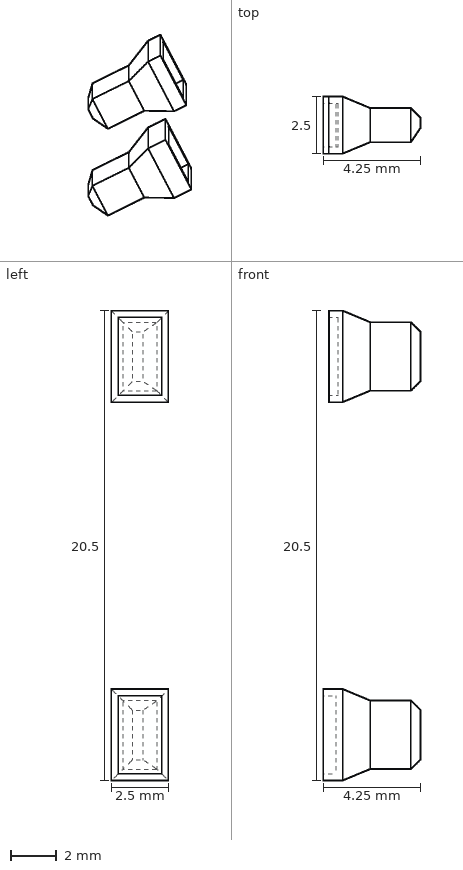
import cadquery as cq

FLANGE_WIDTH = 2.5
FLANGE_HEIGHT = 4.0
STEM_WIDTH = 1.5
STEM_HEIGHT = 3.0

TAPER_LENGTH = 1.2
STEM_LENGTH = 1.78
TIP_LENGTH = 0.42
UPPER_FLANGE_THICKNESS = 0.6
LOWER_FLANGE_THICKNESS = 0.85

TIP_INSET = 0.42
TIP_FRONT_INSET = 0.62

POCKET_WALL = 0.3
UPPER_POCKET_DEPTH = 0.4
LOWER_POCKET_DEPTH = 0.55

PLUG_SPACING = 16.5


def block(x_start, length, width, height):
    """Box centred on the X axis, running from x_start toward +X."""
    return cq.Workplane("YZ", origin=(x_start, 0, 0)).rect(width, height).extrude(length)


def taper(x_start):
    """Rectangular transition from the flange section down to the stem section."""
    return (
        cq.Workplane("YZ", origin=(x_start, 0, 0))
        .rect(FLANGE_WIDTH, FLANGE_HEIGHT)
        .workplane(offset=TAPER_LENGTH)
        .rect(STEM_WIDTH, STEM_HEIGHT)
        .loft(ruled=True)
    )


def tip(x_start):
    """Tapered end of the stem, its end face set toward +Y by the steeper -Y slope."""
    end_width = STEM_WIDTH - TIP_INSET - TIP_FRONT_INSET
    end_height = STEM_HEIGHT - 2 * TIP_INSET
    end_center_y = (TIP_FRONT_INSET - TIP_INSET) / 2
    return (
        cq.Workplane("YZ", origin=(x_start, 0, 0))
        .rect(STEM_WIDTH, STEM_HEIGHT)
        .workplane(offset=TIP_LENGTH)
        .center(end_center_y, 0)
        .rect(end_width, end_height)
        .loft(ruled=True)
    )


def plug(flange_thickness, pocket_depth, z_center):
    """One plug: pocketed flange, taper and pointed stem, with the flange back at X = 0."""
    flange = block(-flange_thickness, flange_thickness, FLANGE_WIDTH, FLANGE_HEIGHT)
    stem = block(TAPER_LENGTH, STEM_LENGTH, STEM_WIDTH, STEM_HEIGHT)
    pocket = block(
        -flange_thickness,
        pocket_depth,
        FLANGE_WIDTH - 2 * POCKET_WALL,
        FLANGE_HEIGHT - 2 * POCKET_WALL,
    )
    body = flange.union(taper(0)).union(stem).union(tip(TAPER_LENGTH + STEM_LENGTH)).cut(pocket)
    return body.translate((0, 0, z_center))


upper_plug = plug(UPPER_FLANGE_THICKNESS, UPPER_POCKET_DEPTH, PLUG_SPACING / 2)
lower_plug = plug(LOWER_FLANGE_THICKNESS, LOWER_POCKET_DEPTH, -PLUG_SPACING / 2)

result = cq.Compound.makeCompound([upper_plug.val(), lower_plug.val()])